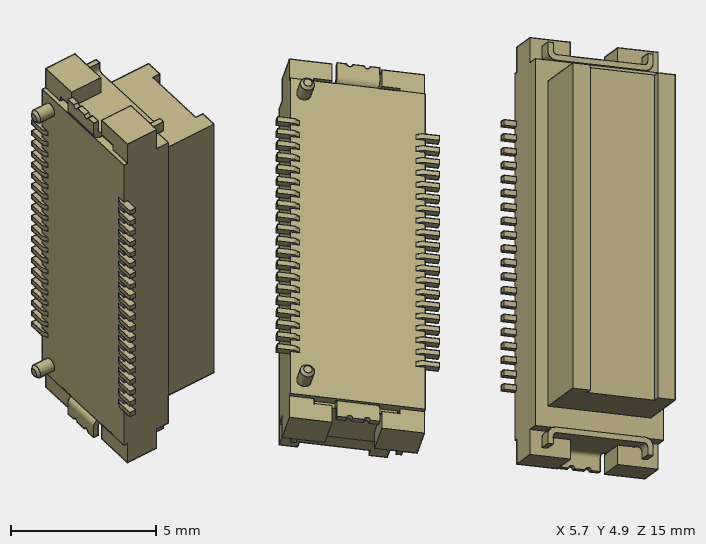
import cadquery as cq

body_width = 4.75
body_depth = 1.9
body_length = 13.2
overall_length = 15.0

wall_width = 3.8
wall_length = 11.7
wall_back = 4.2
wall_notch_width = 2.5
wall_notch_depth = 0.3

block_width = 1.5
block_front = 0.15
block_back = 1.4

peg_radius = 0.25
peg_end = -0.7
peg_chamfer = 0.1
peg_x = -1.9
peg_z = 6.0

contact_count = 20
contact_pitch = 0.5
contact_height = 0.2
contact_tip_x = 2.85
contact_foot_x = 2.25
contact_inner_x = 2.05
contact_front = -0.1
contact_back = 0.15
contact_bend = 0.1

sheet = 0.2
bend_outer = 0.3
bend_inner = 0.15
plate_width = 2.92
plate_front = 0.3
slot_width = 3.04
wing_span = 3.9
wing_front = 1.45
wing_back = 2.0
wing_top = 7.22
foot_width = 1.5
foot_front = -0.1
foot_top = 7.4
foot_notch_x = 0.31
foot_notch_radius = 0.1

plate_bottom = body_length / 2
plate_top = plate_bottom + sheet


def box(x_range, y_range, z_range):
    """Axis-aligned box between pairs of limits."""
    size = [high - low for low, high in (x_range, y_range, z_range)]
    corner = (x_range[0], y_range[0], z_range[0])
    return cq.Workplane("XY").box(*size, centered=False).translate(corner)


def centered_range(width):
    return (-width / 2, width / 2)


def both_ends(feature):
    """Pair of a feature and its mirror image across Z = 0."""
    return feature.union(feature.mirror("XY"))


def make_housing():
    body = box(centered_range(body_width), (0, body_depth), centered_range(body_length))
    wall = box(centered_range(wall_width), (0, wall_back), centered_range(wall_length))
    notch = box(
        centered_range(wall_notch_width),
        (wall_back - wall_notch_depth, wall_back),
        centered_range(wall_length),
    )
    return body.union(wall.cut(notch))


def make_end_blocks():
    """Two corner blocks of the +Z end, slotted for the fitting plate."""
    depth = (block_front, block_back)
    height = (plate_bottom, overall_length / 2)
    outer_x = body_width / 2
    block = box((outer_x - block_width, outer_x), depth, height)
    slot = box(centered_range(slot_width), depth, (plate_bottom, plate_top))
    return block.union(block.mirror("YZ")).cut(slot)


def make_peg(z):
    return (
        cq.Workplane("XZ", origin=(peg_x, 0, z))
        .circle(peg_radius)
        .extrude(-peg_end)
        .faces("<Y")
        .chamfer(peg_chamfer)
    )


def make_contact(z):
    """Solder tail on the +X side, its front face sloping into the housing."""
    tail = (
        cq.Workplane("XY", origin=(0, 0, z - contact_height / 2))
        .moveTo(contact_tip_x, contact_front)
        .lineTo(contact_tip_x, contact_back)
        .lineTo(contact_inner_x, contact_back)
        .lineTo(contact_inner_x, 0)
        .lineTo(contact_foot_x, contact_front)
        .close()
        .extrude(contact_height)
    )
    bend_point = (contact_foot_x, contact_front, z)
    return tail.edges(cq.NearestToPointSelector(bend_point)).fillet(contact_bend)


def make_wings():
    """U-shaped strip across the back of the fitting, with its ends bent outwards along Z."""
    width = centered_range(wing_span)
    depth = (wing_front, wing_back)
    strip = box(width, depth, (plate_bottom, wing_top)).edges("|Y and <Z").fillet(bend_outer)
    channel = box(centered_range(wing_span - 2 * sheet), depth, (plate_top, wing_top))
    return strip.cut(channel.edges("|Y and <Z").fillet(bend_inner))


def make_foot():
    """L-shaped solder foot with two half-round notches in its tip."""
    width = centered_range(foot_width)
    foot = box(width, (foot_front, wing_front), (plate_bottom, foot_top))
    foot = foot.edges("|X and <Y and <Z").fillet(bend_outer)
    inside = box(width, (foot_front + sheet, wing_front), (plate_top, foot_top))
    foot = foot.cut(inside.edges("|X and <Y and <Z").fillet(bend_inner))
    for x in (-foot_notch_x, foot_notch_x):
        notch = (
            cq.Workplane("XZ", origin=(x, 0, foot_top))
            .circle(foot_notch_radius)
            .extrude(sheet, both=True)
        )
        foot = foot.cut(notch)
    return foot


def make_fitting():
    plate = box(centered_range(plate_width), (plate_front, wing_back), (plate_bottom, plate_top))
    return plate.union(make_wings()).union(make_foot())


result = make_housing()
result = result.union(both_ends(make_end_blocks()))
result = result.union(both_ends(make_fitting()))

for z in (-peg_z, peg_z):
    result = result.union(make_peg(z))

for index in range(contact_count):
    z = (index - (contact_count - 1) / 2) * contact_pitch
    contact = make_contact(z)
    result = result.union(contact).union(contact.mirror("YZ"))